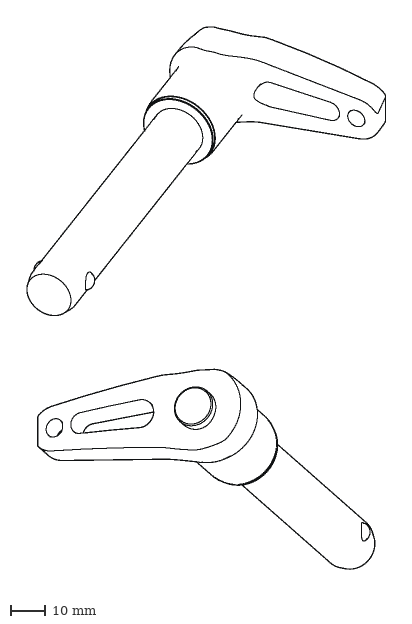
import cadquery as cq
import math


PIN_RADIUS = 7.95
PIN_LENGTH = 94.2
PIN_TIP_RADIUS = 7.1
PIN_TAPER_LENGTH = 3.5
BALL_RADIUS = 2.9
BALL_REACH = 9.5
BALL_Y = -82.9

BAND_RADIUS = 11.2
BAND_HEIGHT = 1.3
BAND_CHAMFER = 0.2
COLLAR_RADIUS = 11.7
COLLAR_ROUND_Y = 3.3
COLLAR_ROUND_DEPTH = 0.3

FLARE_RADIUS = 5.9
FLARE_BASE_Y = 23.1
FLARE_OUTER_RADIUS = COLLAR_RADIUS + FLARE_RADIUS
FLARE_TOP_Y = FLARE_BASE_Y + FLARE_RADIUS
EMBED_Y = 33.0

HUB_RADIUS = 12.35
TAPER_ANGLE = math.radians(6.8)
HEEL_OFFSET = 3.3
HEEL_RADIUS = HUB_RADIUS - HEEL_OFFSET * math.sin(TAPER_ANGLE)
ARM_END_X = 51.97
ARM_CORNER_X = 46.1
ARM_CORNER_RADIUS = 8.0

HEEL_TOP_Y = 38.9
HEEL_CONE_TOP_RADIUS = 13.8
HEEL_CONE_BASE_RADIUS = HEEL_OFFSET + HEEL_RADIUS
HEEL_CONE_BASE_Y = 28.3
DISH_RADIUS = 20.0
DISH_LOW_Y = 38.1
DISH_END_X = 8.2
CREST_X = 12.6
CREST_Y = 41.05
BACK_MID_X = 33.4
BACK_MID_Y = 39.3
ARM_TOP_END_X = 51.0
ARM_TOP_END_Y = 35.9
ARM_BOTTOM_END_Y = 27.2
ARM_BOTTOM_AXIS_Y = 29.6
ARM_END_ROUND = 0.8
BACK_END_X = 53.0
BACK_END_Y = 35.5
CROWN_RADIUS = 150.0

SLOT_NEAR_X = 17.0
SLOT_NEAR_RADIUS = 4.3
SLOT_FAR_X = 36.4
SLOT_FAR_RADIUS = 3.2
LANYARD_HOLE_X = 45.1
LANYARD_HOLE_DIAMETER = 5.6

BUTTON_RADIUS = 6.0
BUTTON_TOP_Y = 42.0
BUTTON_CHAMFER = 0.4

LEVER_CLEARANCE_Y = 50.0
LEVER_CLEARANCE_Z = 20.0


def revolve_about_pin(profile):
    """Turn a closed X-Y half profile about the pin axis."""
    return profile.close().revolve(360, (0, 0), (0, 1))


def make_pin():
    taper_y = PIN_TAPER_LENGTH - PIN_LENGTH
    profile = (
        cq.Workplane("XY")
        .moveTo(0, -PIN_LENGTH)
        .lineTo(PIN_TIP_RADIUS, -PIN_LENGTH)
        .lineTo(PIN_RADIUS, taper_y)
        .lineTo(PIN_RADIUS, COLLAR_ROUND_Y)
        .lineTo(0, COLLAR_ROUND_Y)
    )
    pin = revolve_about_pin(profile)
    ball_x = BALL_REACH - BALL_RADIUS
    for side in (-1, 1):
        ball = cq.Workplane("XY").sphere(BALL_RADIUS).translate((side * ball_x, BALL_Y, 0))
        pin = pin.union(ball)
    return pin


def make_collar():
    round_height = COLLAR_ROUND_Y - BAND_HEIGHT
    round_radius = (round_height**2 + COLLAR_ROUND_DEPTH**2) / (2 * COLLAR_ROUND_DEPTH)
    round_end_radius = COLLAR_RADIUS - COLLAR_ROUND_DEPTH
    profile = (
        cq.Workplane("XY")
        .lineTo(BAND_RADIUS - BAND_CHAMFER, 0)
        .lineTo(BAND_RADIUS, BAND_CHAMFER)
        .lineTo(BAND_RADIUS, BAND_HEIGHT)
        .lineTo(round_end_radius, BAND_HEIGHT)
        .radiusArc((COLLAR_RADIUS, COLLAR_ROUND_Y), -round_radius)
        .lineTo(COLLAR_RADIUS, FLARE_BASE_Y)
        .lineTo(0, FLARE_BASE_Y)
    )
    return revolve_about_pin(profile)


def make_flare():
    profile = (
        cq.Workplane("XY")
        .moveTo(0, FLARE_BASE_Y)
        .lineTo(COLLAR_RADIUS, FLARE_BASE_Y)
        .radiusArc((FLARE_OUTER_RADIUS, FLARE_TOP_Y), FLARE_RADIUS)
        .lineTo(FLARE_OUTER_RADIUS, EMBED_Y)
        .lineTo(0, EMBED_Y)
    )
    return revolve_about_pin(profile)


def make_plan_prism():
    """Lever outline: heel round, tapered flanks tangent to the hub, rounded arm end."""
    sin_t = math.sin(TAPER_ANGLE)
    cos_t = math.cos(TAPER_ANGLE)
    hub_x = HUB_RADIUS * sin_t
    hub_z = HUB_RADIUS * cos_t
    heel_x = -HEEL_OFFSET - HEEL_RADIUS * sin_t
    heel_z = HEEL_RADIUS * cos_t
    corner_z = hub_z - (ARM_CORNER_X - hub_x) * math.tan(TAPER_ANGLE)
    corner_centre_x = ARM_CORNER_X - ARM_CORNER_RADIUS * sin_t
    corner_centre_z = corner_z - ARM_CORNER_RADIUS * cos_t
    end_z = corner_centre_z + math.sqrt(ARM_CORNER_RADIUS**2 - (ARM_END_X - corner_centre_x) ** 2)
    return (
        cq.Workplane("XZ")
        .moveTo(heel_x, heel_z)
        .lineTo(-hub_x, hub_z)
        .threePointArc((0, HUB_RADIUS), (hub_x, hub_z))
        .lineTo(ARM_CORNER_X, corner_z)
        .radiusArc((ARM_END_X, end_z), ARM_CORNER_RADIUS)
        .lineTo(ARM_END_X, -end_z)
        .radiusArc((ARM_CORNER_X, -corner_z), ARM_CORNER_RADIUS)
        .lineTo(hub_x, -hub_z)
        .threePointArc((0, -HUB_RADIUS), (-hub_x, -hub_z))
        .lineTo(heel_x, -heel_z)
        .threePointArc((-HEEL_OFFSET - HEEL_RADIUS, 0), (heel_x, heel_z))
        .close()
        .extrude(-LEVER_CLEARANCE_Y)
    )


def make_side_prism():
    """Lever side profile: flat heel, dished hub, crest and sloping arm, open above the back."""
    heel_x = -HEEL_CONE_BASE_RADIUS
    dish_centre_y = DISH_LOW_Y + DISH_RADIUS
    dish_start_x = -math.sqrt(DISH_RADIUS**2 - (dish_centre_y - HEEL_TOP_Y) ** 2)
    dish_end_y = dish_centre_y - math.sqrt(DISH_RADIUS**2 - DISH_END_X**2)
    end_lean = (ARM_END_X - ARM_TOP_END_X) / (ARM_TOP_END_Y - ARM_BOTTOM_END_Y)
    end_x_at_clearance = ARM_END_X - end_lean * (LEVER_CLEARANCE_Y - ARM_BOTTOM_END_Y)
    return (
        cq.Workplane("XY")
        .moveTo(0, ARM_BOTTOM_AXIS_Y)
        .lineTo(heel_x, ARM_BOTTOM_AXIS_Y)
        .lineTo(heel_x, HEEL_TOP_Y)
        .lineTo(dish_start_x, HEEL_TOP_Y)
        .threePointArc((0, DISH_LOW_Y), (DISH_END_X, dish_end_y))
        .tangentArcPoint((CREST_X, CREST_Y), relative=False)
        .lineTo(CREST_X, LEVER_CLEARANCE_Y)
        .lineTo(end_x_at_clearance, LEVER_CLEARANCE_Y)
        .lineTo(ARM_END_X, ARM_BOTTOM_END_Y)
        .close()
        .extrude(LEVER_CLEARANCE_Z, both=True)
    )


def make_crown():
    """Solid under the arm's back, bowed along the arm and crowned across it."""
    axis_y = CREST_Y - CROWN_RADIUS
    start_x = -LEVER_CLEARANCE_Z
    return (
        cq.Workplane("XY")
        .moveTo(start_x, axis_y)
        .lineTo(start_x, CREST_Y)
        .lineTo(CREST_X, CREST_Y)
        .threePointArc((BACK_MID_X, BACK_MID_Y), (BACK_END_X, BACK_END_Y))
        .lineTo(BACK_END_X, axis_y)
        .close()
        .revolve(360, (start_x, axis_y), (BACK_END_X, axis_y))
    )


def make_heel_trim():
    """Ring outside the conical heel face, limited to the heel side of the pin axis."""
    slope = (HEEL_CONE_TOP_RADIUS - HEEL_CONE_BASE_RADIUS) / (HEEL_TOP_Y - HEEL_CONE_BASE_Y)
    top_radius = HEEL_CONE_BASE_RADIUS + slope * (LEVER_CLEARANCE_Y - HEEL_CONE_BASE_Y)
    profile = (
        cq.Workplane("XY")
        .moveTo(HEEL_CONE_BASE_RADIUS, HEEL_CONE_BASE_Y)
        .lineTo(top_radius, LEVER_CLEARANCE_Y)
        .lineTo(LEVER_CLEARANCE_Z, LEVER_CLEARANCE_Y)
        .lineTo(LEVER_CLEARANCE_Z, HEEL_CONE_BASE_Y)
    )
    heel_side = cq.Workplane("XY").box(
        LEVER_CLEARANCE_Z, LEVER_CLEARANCE_Y, 2 * LEVER_CLEARANCE_Z, centered=(False, False, True)
    ).translate((-LEVER_CLEARANCE_Z, 0, 0))
    return revolve_about_pin(profile).intersect(heel_side)


def make_slot():
    """Tapered slot: two end rounds joined by their common tangents."""
    sin_t = (SLOT_NEAR_RADIUS - SLOT_FAR_RADIUS) / (SLOT_FAR_X - SLOT_NEAR_X)
    cos_t = math.sqrt(1 - sin_t**2)
    near_x = SLOT_NEAR_X + SLOT_NEAR_RADIUS * sin_t
    near_z = SLOT_NEAR_RADIUS * cos_t
    far_x = SLOT_FAR_X + SLOT_FAR_RADIUS * sin_t
    far_z = SLOT_FAR_RADIUS * cos_t
    return (
        cq.Workplane("XZ")
        .moveTo(near_x, near_z)
        .lineTo(far_x, far_z)
        .threePointArc((SLOT_FAR_X + SLOT_FAR_RADIUS, 0), (far_x, -far_z))
        .lineTo(near_x, -near_z)
        .threePointArc((SLOT_NEAR_X - SLOT_NEAR_RADIUS, 0), (near_x, near_z))
        .close()
        .extrude(-LEVER_CLEARANCE_Y)
    )


def make_lanyard_hole():
    return (
        cq.Workplane("XZ")
        .center(LANYARD_HOLE_X, 0)
        .circle(LANYARD_HOLE_DIAMETER / 2)
        .extrude(-LEVER_CLEARANCE_Y)
    )


def make_lever():
    end_edges = cq.selectors.BoxSelector(
        (ARM_CORNER_X, 0, -LEVER_CLEARANCE_Z), (BACK_END_X, LEVER_CLEARANCE_Y, LEVER_CLEARANCE_Z)
    )
    blank = make_side_prism().intersect(make_crown())
    blank = blank.edges(end_edges).fillet(ARM_END_ROUND)
    lever = blank.union(make_flare()).intersect(make_plan_prism())
    return lever.cut(make_heel_trim()).cut(make_slot()).cut(make_lanyard_hole())


def make_button():
    profile = (
        cq.Workplane("XY")
        .moveTo(0, EMBED_Y)
        .lineTo(BUTTON_RADIUS, EMBED_Y)
        .lineTo(BUTTON_RADIUS, BUTTON_TOP_Y - BUTTON_CHAMFER)
        .lineTo(BUTTON_RADIUS - BUTTON_CHAMFER, BUTTON_TOP_Y)
        .lineTo(0, BUTTON_TOP_Y)
    )
    return revolve_about_pin(profile)


result = make_pin().union(make_collar()).union(make_lever()).union(make_button())